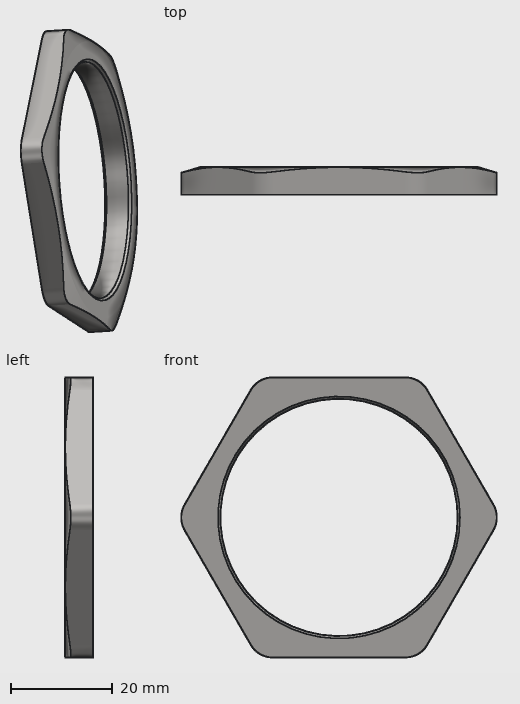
import cadquery as cq
import math

across_flats = 55.0
thickness = 5.5
corner_radius = 5.0
bore_diameter = 46.5
bore_chamfer = 0.5
crown_flat_diameter = 54.5
crown_angle = 17.0

side_count = 6
corner_to_corner = across_flats / math.cos(math.pi / side_count)


def turned_body(profile):
    """Solid of revolution around the Y axis from (radius, y) profile points."""
    return cq.Workplane("XY").polyline(profile).close().revolve(360, (0, 0, 0), (0, 1, 0))


def hexagon_blank():
    """Hexagonal plate from Y = 0 to Y = thickness, rounded corners, two of them on X."""
    plate = cq.Workplane("XZ").polygon(side_count, corner_to_corner).extrude(-thickness)
    return plate.edges("|Y").fillet(corner_radius)


def crown_envelope():
    """Turned envelope whose conical +Y end bevels the hexagon corners."""
    flat_radius = crown_flat_diameter / 2
    outer_radius = corner_to_corner / 2
    crown_drop = (outer_radius - flat_radius) * math.tan(math.radians(crown_angle))
    return turned_body([
        (0, 0),
        (outer_radius, 0),
        (outer_radius, thickness - crown_drop),
        (flat_radius, thickness),
        (0, thickness),
    ])


def bore_cutter():
    """Through bore, opened by a 45 degree chamfer at both faces."""
    bore_radius = bore_diameter / 2
    mouth_radius = bore_radius + bore_chamfer
    return turned_body([
        (0, 0),
        (mouth_radius, 0),
        (bore_radius, bore_chamfer),
        (bore_radius, thickness - bore_chamfer),
        (mouth_radius, thickness),
        (0, thickness),
    ])


result = hexagon_blank().intersect(crown_envelope()).cut(bore_cutter())